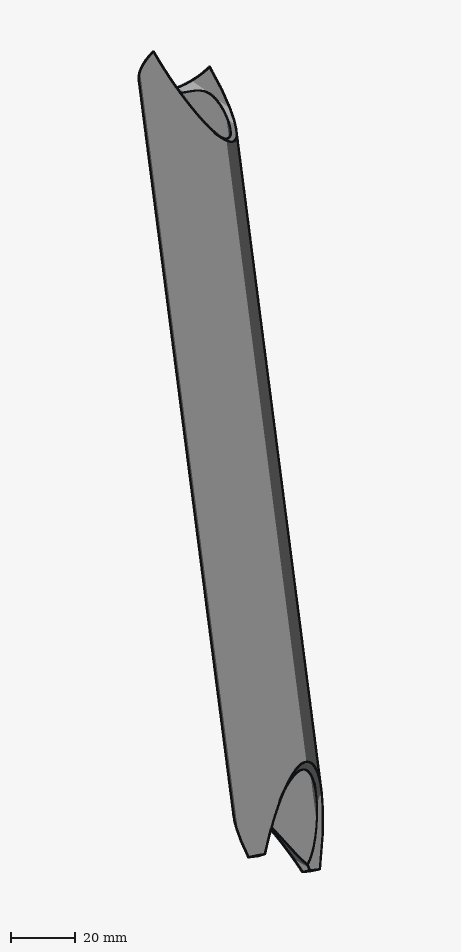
import cadquery as cq
import math

outer_radius = 14
wall = 1.8
crossing_radius = outer_radius

run_x = 180.3
run_y = -114.4
run_z = -167

end_setback = 7.9
end_tilt = 8
overrun = 40
cutter_half_length = 100
trim_radius = 3 * outer_radius

upper_node = cq.Vector(0, 0, 0)
lower_node = cq.Vector(run_x, run_y, run_z)
brace_axis = (lower_node - upper_node).normalized()
brace_middle = (upper_node + lower_node) * 0.5

chord_axis = cq.Vector(1, 0, 0)
post_axis = cq.Vector(0, run_y, run_z).normalized()


def bar(radius, start, end):
    """Solid round bar from start to end."""
    span = end - start
    return cq.Workplane(obj=cq.Solid.makeCylinder(radius, span.Length, start, span))


def uncut_tube():
    """Straight tube along the brace axis, before its ends are shaped."""
    start = upper_node - brace_axis * overrun
    end = lower_node + brace_axis * overrun
    return bar(outer_radius, start, end).cut(bar(outer_radius - wall, start, end))


def crossing_bar(node, axis):
    """Space taken by a member that crosses the brace at a node."""
    reach = axis * cutter_half_length
    return bar(crossing_radius, node - reach, node + reach)


def end_trim():
    """Block whose flat face trims the lower tips, tilted from square toward the post."""
    tilt_pivot = brace_axis.cross(chord_axis).normalized()
    toward_chord = tilt_pivot.cross(brace_axis)
    face_normal = (brace_axis - toward_chord * math.tan(math.radians(end_tilt))).normalized()
    face_center = lower_node - brace_axis * end_setback
    return bar(trim_radius, face_center, face_center + face_normal * cutter_half_length)


def main_piece(body):
    """The length of tube between the nodes, without the offcuts beyond the saddles."""
    return body.solids(cq.selectors.NearestToPointSelector(brace_middle.toTuple())).val()


brace = uncut_tube()
for node in (upper_node, lower_node):
    brace = brace.cut(crossing_bar(node, chord_axis))
brace = brace.cut(crossing_bar(lower_node, post_axis))
brace = brace.cut(end_trim())

result = cq.Workplane(obj=main_piece(brace))